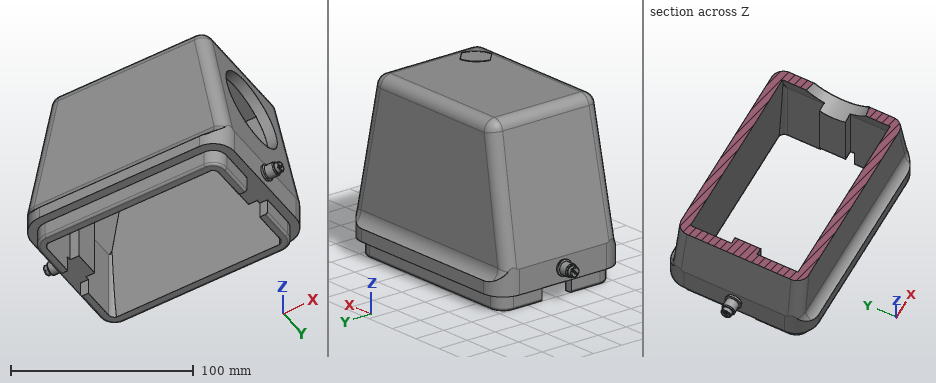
import cadquery as cq
import math

shell_height = 108.1
flange_bottom = 10.5
shoulder_z = 25.7

flange_length = 132.0
flange_width = 90.0
flange_corner_radius = 14.0
plate_top = 17.0
plate_margin = 40.0
selection_margin = 1.0
cove_radius = 9.5

hood_half_length = flange_length / 2
hood_half_width = 40.2
end_wall_angle = 10.8
side_wall_angle = 1.6
hood_round = 7.3
wall = 6.3

skirt_length = 121.4
skirt_width = 79.6
skirt_corner_radius = 9.0
skirt_wall = 5.0
rim_round = 1.4
notch_width = 21.0

cable_hole_diameter = 50.0
cable_hole_z = 72.2

peg_z = 19.2
peg_tip_x = 76.5
peg_body_end_x = 73.7
peg_body_radius = 8.0 / 2
peg_body_end_radius = 7.3 / 2
peg_body_chamfer = 0.7
collar_radius = 10.0 / 2
collar_start_radius = 4.6
collar_peak_x = 67.5
collar_end_x = 67.9
peg_tip_radius = 6.0 / 2
peg_tip_chamfer = 0.5
driver_slot_width = 0.8
driver_slot_depth = 1.0
driver_slot_angle = 45.0
rib_width = 16.0
rib_inner_x = 50.0

badge_x = 33.8
badge_y = -21.2
badge_angle = 45.0
badge_half_length = 8.3
badge_end_half_width = 4.9
badge_mid_half_width = 7.8
badge_height = 0.4

end_slope = math.tan(math.radians(end_wall_angle))
side_slope = math.tan(math.radians(side_wall_angle))


def rounded_prism(length, width, corner_radius, bottom, top):
    block = cq.Workplane("XY").workplane(offset=bottom).rect(length, width).extrude(top - bottom)
    return block.edges("|Z").fillet(corner_radius)


def trapezoid(plane, half_at_shoulder, slope, bottom, top, depth):
    """Symmetric trapezoid in a vertical plane, extruded both ways."""
    half_bottom = half_at_shoulder + (shoulder_z - bottom) * slope
    half_top = half_at_shoulder + (shoulder_z - top) * slope
    outline = [(-half_bottom, bottom), (half_bottom, bottom), (half_top, top), (-half_top, top)]
    return cq.Workplane(plane).polyline(outline).close().extrude(depth, both=True)


def tapered_block(inset, bottom, top):
    """Block with the hood's four sloped walls, moved inward by inset."""
    half_length = hood_half_length - inset / math.cos(math.radians(end_wall_angle))
    half_width = hood_half_width - inset / math.cos(math.radians(side_wall_angle))
    along_x = trapezoid("XZ", half_length, end_slope, bottom, top, flange_width)
    along_y = trapezoid("YZ", half_width, side_slope, bottom, top, flange_length)
    return along_x.intersect(along_y)


def make_shell():
    """Hood standing on a plate, coved into it all round, then trimmed to the flange outline."""
    hood = tapered_block(0, flange_bottom, shell_height)
    rounded_edges = hood.edges("not (|X or |Y)").add(hood.faces(">Z").edges())
    hood = rounded_edges.fillet(hood_round)
    plate = (
        cq.Workplane("XY")
        .workplane(offset=flange_bottom)
        .rect(flange_length + plate_margin, flange_width + plate_margin)
        .extrude(plate_top - flange_bottom)
    )
    foot_half_length = flange_length / 2 + plate_margin / 4
    foot_half_width = flange_width / 2
    foot_edges = cq.selectors.BoxSelector(
        (-foot_half_length, -foot_half_width, plate_top - selection_margin),
        (foot_half_length, foot_half_width, plate_top + selection_margin),
    )
    coved = plate.union(hood).edges(foot_edges).fillet(cove_radius)
    outline = rounded_prism(
        flange_length, flange_width, flange_corner_radius, flange_bottom, shell_height
    )
    return coved.intersect(outline)


def make_skirt():
    skirt = rounded_prism(skirt_length, skirt_width, skirt_corner_radius, 0, flange_bottom)
    return skirt.faces("<Z").edges().fillet(rim_round)


def make_cavity():
    """Hollow open at the rim, leaving a rib behind each peg."""
    cavity_length = skirt_length - 2 * skirt_wall
    bore = rounded_prism(
        cavity_length,
        skirt_width - 2 * skirt_wall,
        skirt_corner_radius - skirt_wall,
        0,
        shell_height,
    )
    cavity = tapered_block(wall, 0, shell_height - wall).intersect(bore)
    rib_depth = flange_length / 2 - rib_inner_x
    for side in (-1, 1):
        rib = cq.Workplane("XY").box(rib_depth, rib_width, shell_height, centered=(True, True, False))
        rib_x = side * (rib_inner_x + rib_depth / 2)
        cavity = cavity.cut(rib.translate((rib_x, 0, flange_bottom)))
    return cavity


def make_notch():
    """Slot across both skirt ends, level with the underside of the flange."""
    return cq.Workplane("XY").box(
        flange_length, notch_width, flange_bottom, centered=(True, True, False)
    )


def make_cable_hole():
    """Cylinder square to the sloped +X wall, reaching just through it."""
    hole_x = hood_half_length - (cable_hole_z - shoulder_z) * end_slope
    tilt = math.radians(end_wall_angle)
    inward = cq.Vector(-math.cos(tilt), 0, -math.sin(tilt))
    reach = 2 * wall
    start = cq.Vector(hole_x, 0, cable_hole_z) - inward * reach
    hole = cq.Solid.makeCylinder(cable_hole_diameter / 2, 2 * reach, start, inward)
    return cq.Workplane(obj=hole)


def make_peg():
    """Turned peg on the +X end: collar, body and slotted tip."""
    root_x = flange_length / 2 - wall / 2
    profile = [
        (root_x, 0),
        (root_x, collar_start_radius),
        (flange_length / 2, collar_start_radius),
        (collar_peak_x, collar_radius),
        (collar_end_x, peg_body_radius),
        (peg_body_end_x - peg_body_chamfer, peg_body_radius),
        (peg_body_end_x, peg_body_end_radius),
        (peg_body_end_x, peg_tip_radius),
        (peg_tip_x - peg_tip_chamfer, peg_tip_radius),
        (peg_tip_x, peg_tip_radius - peg_tip_chamfer),
        (peg_tip_x, 0),
    ]
    peg = cq.Workplane("XZ").polyline(profile).close().revolve(360, (0, 0, 0), (1, 0, 0))
    slot = (
        cq.Workplane("XY")
        .box(2 * driver_slot_depth, 2 * collar_radius, driver_slot_width)
        .rotate((0, 0, 0), (1, 0, 0), driver_slot_angle)
        .translate((peg_tip_x, 0, 0))
    )
    return peg.cut(slot).translate((0, 0, peg_z))


def make_badge():
    """Plain raised pad with two flat ends and two bowed sides."""
    pad = (
        cq.Workplane("XY")
        .moveTo(-badge_half_length, -badge_end_half_width)
        .threePointArc((0, -badge_mid_half_width), (badge_half_length, -badge_end_half_width))
        .lineTo(badge_half_length, badge_end_half_width)
        .threePointArc((0, badge_mid_half_width), (-badge_half_length, badge_end_half_width))
        .close()
        .extrude(wall / 2 + badge_height)
    )
    pad = pad.rotate((0, 0, 0), (0, 0, 1), badge_angle)
    return pad.translate((badge_x, badge_y, shell_height - wall / 2))


housing = make_shell().union(make_skirt())
housing = housing.cut(make_cavity()).cut(make_notch()).cut(make_cable_hole())
peg = make_peg()
result = housing.union(peg).union(peg.mirror("YZ")).union(make_badge())